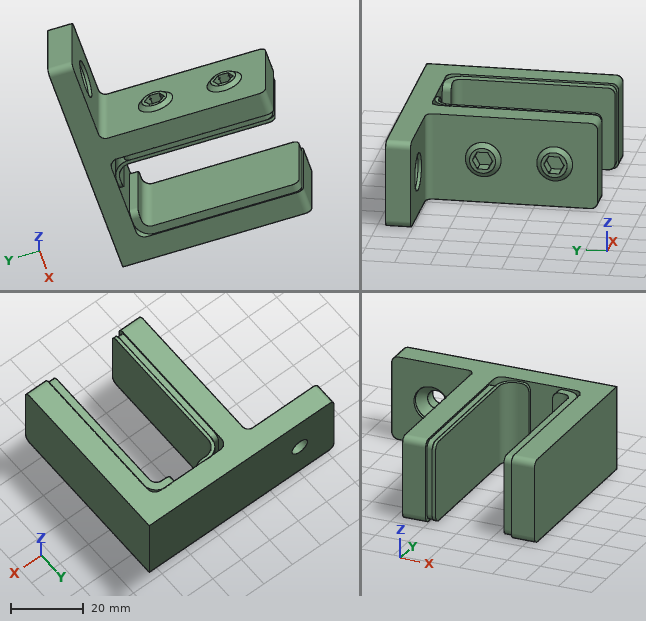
import cadquery as cq
import math

length = 65.0
depth = 55.0
height = 25.0
wall = 7.0
corner_radius = 2.0
slot_bend_radius = 2.5
left_leg_x = 25.0
left_leg_inner_x = left_leg_x + wall
right_leg_inner_x = length - wall

mount_hole_x = 12.0
mount_hole_diameter = 5.45
countersink_diameter = 10.5
countersink_rim_depth = 1.0

edge_inset = 0.5
plate_thickness = 1.75
plate_back_y = -10.9
plate_front_y = 1.0 - depth
thin_liner_thickness = 1.05
thin_liner_tip_x = 42.0
thin_liner_inner_radius = 3.95
thick_liner_thickness = 2.5
thick_liner_tip_x = 49.85
thick_liner_inner_radius = 2.5

screw_spacing = 20.0
screw_end_distance = 12.0
screw_ys = [screw_end_distance - depth + i * screw_spacing for i in range(2)]
head_diameter = 10.0
head_top_diameter = 7.3
head_height = 1.1
shank_diameter = 6.0
socket_flats = 4.95
socket_depth = 3.9


def cylinder_along_x(start_x, y, diameter, cylinder_length):
    """Cylinder at half height, running toward +X."""
    return cq.Workplane("YZ", origin=(start_x, y, 0)).circle(diameter / 2).extrude(cylinder_length)


def make_mounting_hole():
    """Cutter for a through hole with a 90 degree countersink below a short straight rim."""
    hole_radius = mount_hole_diameter / 2
    rim_radius = countersink_diameter / 2
    cone_front_y = -wall + countersink_rim_depth
    cone_back_y = cone_front_y + rim_radius - hole_radius
    profile = [
        (0, -wall),
        (rim_radius, -wall),
        (rim_radius, cone_front_y),
        (hole_radius, cone_back_y),
        (hole_radius, 0),
        (0, 0),
    ]
    cutter = cq.Workplane("XY").polyline(profile).close().revolve(360, (0, 0), (0, 1))
    return cutter.translate((mount_hole_x, 0, 0))


def make_bracket():
    outline = [
        (0, 0),
        (length, 0),
        (length, -depth),
        (right_leg_inner_x, -depth),
        (right_leg_inner_x, -wall),
        (left_leg_inner_x, -wall),
        (left_leg_inner_x, -depth),
        (left_leg_x, -depth),
        (left_leg_x, -wall),
        (0, -wall),
    ]
    bracket = cq.Workplane("XY").polyline(outline).close().extrude(height / 2, both=True)

    bends = [
        (left_leg_x, corner_radius),
        (left_leg_inner_x, slot_bend_radius),
        (right_leg_inner_x, slot_bend_radius),
    ]
    for bend_x, radius in bends:
        bend = cq.selectors.NearestToPointSelector((bend_x, -wall, 0))
        bracket = bracket.edges(bend).fillet(radius)
    bracket = bracket.faces("<X").edges("|Y").fillet(corner_radius)
    bracket = bracket.faces("<Y").edges("|X").fillet(corner_radius)

    bracket = bracket.cut(make_mounting_hole())

    for y in screw_ys:
        bracket = bracket.cut(cylinder_along_x(left_leg_x, y, shank_diameter, wall))
    return bracket


def make_pressure_plate():
    plate_length = plate_back_y - plate_front_y
    plate_center_y = (plate_back_y + plate_front_y) / 2
    return (
        cq.Workplane("YZ", origin=(left_leg_inner_x, plate_center_y, 0))
        .rect(plate_length, height - 2 * edge_inset)
        .extrude(plate_thickness)
        .edges("|X")
        .fillet(corner_radius)
    )


def make_liner(outer_x, tip_x, thickness, inner_radius):
    """L-shaped strip lying along a leg and bending along the back plate to tip_x."""
    side = math.copysign(1, tip_x - outer_x)
    inner_x = outer_x + side * thickness
    front_y = edge_inset - depth
    outline = [
        (outer_x, front_y),
        (outer_x, -wall),
        (tip_x, -wall),
        (tip_x, -wall - thickness),
        (inner_x, -wall - thickness),
        (inner_x, front_y),
    ]
    liner = cq.Workplane("XY").polyline(outline).close().extrude(height / 2 - edge_inset, both=True)

    outer_corner = cq.selectors.NearestToPointSelector((outer_x, -wall, 0))
    liner = liner.edges(outer_corner).fillet(inner_radius + thickness)
    inner_corner = cq.selectors.NearestToPointSelector((inner_x, -wall - thickness, 0))
    liner = liner.edges(inner_corner).fillet(inner_radius)
    tip_face = ">X" if side > 0 else "<X"
    liner = liner.faces(tip_face).edges("|Y").fillet(corner_radius)
    return liner.faces("<Y").edges("|X").fillet(corner_radius)


def make_screw(y):
    """Screw with a tapered head on the left leg and a shank reaching the pressure plate."""
    profile = [
        (-head_height, 0),
        (-head_height, head_top_diameter / 2),
        (0, head_diameter / 2),
        (0, shank_diameter / 2),
        (wall, shank_diameter / 2),
        (wall, 0),
    ]
    screw = cq.Workplane("XY").polyline(profile).close().revolve(360, (0, 0), (1, 0))
    socket_corner_diameter = socket_flats / math.cos(math.pi / 6)
    socket = (
        cq.Workplane("YZ", origin=(-head_height, 0, 0))
        .polygon(6, socket_corner_diameter)
        .extrude(socket_depth)
    )
    return screw.cut(socket).translate((left_leg_x, y, 0))


bracket = make_bracket()
pressure_plate = make_pressure_plate()
thin_liner = make_liner(
    left_leg_inner_x + plate_thickness, thin_liner_tip_x, thin_liner_thickness, thin_liner_inner_radius
)
thick_liner = make_liner(
    right_leg_inner_x, thick_liner_tip_x, thick_liner_thickness, thick_liner_inner_radius
)
screws = [make_screw(y) for y in screw_ys]

result = cq.Compound.makeCompound(
    [
        bracket.val(),
        pressure_plate.val(),
        thin_liner.val(),
        thick_liner.val(),
        *[screw.val() for screw in screws],
    ]
)